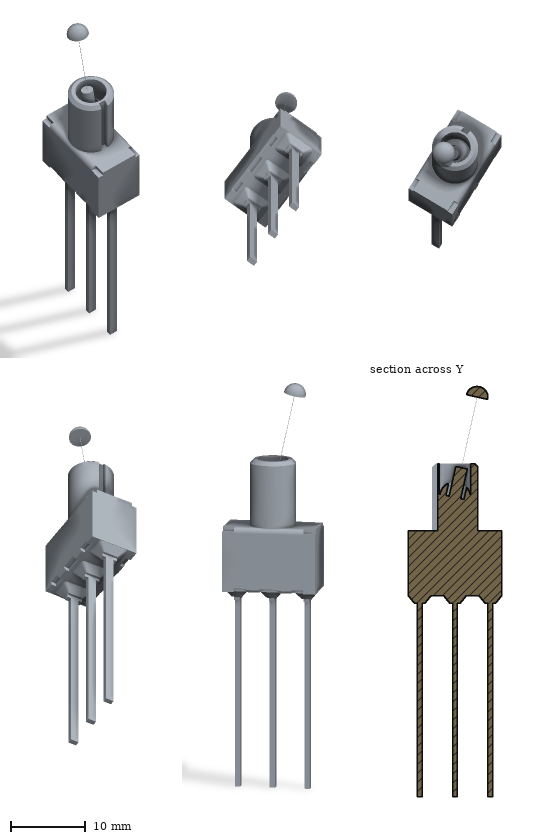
import cadquery as cq
import math


housing_length = 12.7
housing_width = 6.85
housing_height = 8.75
end_length = 1.6
top_edge_radius = 0.7
end_step_height = 0.55
middle_length = housing_length - 2 * end_length

pad_recess_height = 0.5
pad_recess_depth = 0.7
centre_pad_length = 2.55
edge_bevel_height = 0.35
edge_bevel_depth = 0.3
pad_gap = 1.8

bushing_diameter = 6.25
bushing_height = 9.0
bushing_top_chamfer = 0.5
bore_diameter = 4.2
keyway_width = 1.0
keyway_floor = 2.35
bushing_top = housing_height + bushing_height

toggle_tilt = 12.5
ball_depth = 4.5
socket_diameter = 2.4
pin_diameter = 1.65
pin_reach = 4.1
tip_diameter = 3.0
tip_reach = 13.7
stem_diameter = 0.05
ball_height = bushing_top - ball_depth

terminal_pitch = 4.75
terminal_bottom = -27.0
terminal_thickness = 0.7
terminal_width = 1.15
shoulder_bottom = -1.5
foot_height = 1.05
foot_length = 1.4
foot_width = 2.2
foot_corner = 0.15
foot_base_length = 3.1
foot_base_width = 4.35
foot_base_corner = 0.45


def box(length, width, bottom, top, x=0.0, y=0.0):
    """Upright box centred on (x, y) between two heights."""
    return (
        cq.Workplane("XY", origin=(x, y, bottom))
        .rect(length, width)
        .extrude(top - bottom)
    )


def make_housing():
    housing = box(middle_length, housing_width, 0, housing_height)
    housing = housing.edges("|X and >Z").fillet(top_edge_radius)
    for side in (-1, 1):
        end_x = side * (housing_length - end_length) / 2
        upper_width = housing_width - 2 * top_edge_radius
        step = housing_height - end_step_height
        housing = housing.union(box(end_length, housing_width, 0, step, end_x))
        housing = housing.union(box(end_length, upper_width, 0, housing_height, end_x))
    return housing


def make_lower_relief():
    """Recesses in front of the three pads and bevels between them, on both long sides."""
    gap_start = centre_pad_length / 2
    gap_end = gap_start + pad_gap
    side_pad_length = middle_length / 2 - gap_end
    side_pad_x = gap_end + side_pad_length / 2
    recess_y = (housing_width - pad_recess_depth) / 2
    edge_y = housing_width / 2

    bevel_profile = (
        cq.Workplane("YZ", origin=(gap_start, 0, 0))
        .polyline([(edge_y, 0), (edge_y, edge_bevel_height), (edge_y - edge_bevel_depth, 0)])
        .close()
    )
    bevel = bevel_profile.extrude(pad_gap)
    relief = bevel.union(bevel.mirror("YZ"))
    for x, length in (
        (-side_pad_x, side_pad_length),
        (0, centre_pad_length),
        (side_pad_x, side_pad_length),
    ):
        relief = relief.union(box(length, pad_recess_depth, 0, pad_recess_height, x, recess_y))
    return relief.union(relief.mirror("XZ"))


def make_bushing():
    bushing = (
        cq.Workplane("XY", origin=(0, 0, housing_height))
        .circle(bushing_diameter / 2)
        .extrude(bushing_height)
        .faces(">Z")
        .edges()
        .chamfer(bushing_top_chamfer)
    )
    bore = (
        cq.Workplane("XY", origin=(0, 0, ball_height))
        .circle(bore_diameter / 2)
        .extrude(ball_depth)
    )
    keyway_depth = bushing_diameter / 2 - keyway_floor
    keyway_x = keyway_floor + keyway_depth / 2
    keyway = box(keyway_depth, keyway_width, housing_height, bushing_top, keyway_x)
    return bushing.cut(bore).cut(keyway)


def along_toggle(diameter, start, end):
    """Round bar on the toggle axis, measured from the ball centre."""
    tilt = math.radians(toggle_tilt)
    axis = cq.Vector(-math.sin(tilt), 0, math.cos(tilt))
    base = cq.Vector(0, 0, ball_height) + axis * start
    return cq.Workplane(cq.Solid.makeCylinder(diameter / 2, end - start, base, axis))


def make_tip():
    """Half ball whose flat base is square to the toggle axis."""
    return (
        cq.Workplane("XY")
        .sphere(tip_diameter / 2)
        .intersect(box(tip_diameter, tip_diameter, 0, tip_diameter))
        .translate((0, 0, tip_reach))
        .rotate((0, 0, 0), (0, 1, 0), -toggle_tilt)
        .translate((0, 0, ball_height))
    )


def make_terminal():
    """Tapered foot and flat shouldered pin, on the Z axis."""
    base_sketch = (
        cq.Sketch()
        .rect(foot_base_length, foot_base_width)
        .vertices()
        .fillet(foot_base_corner)
    )
    end_sketch = cq.Sketch().rect(foot_length, foot_width).vertices().fillet(foot_corner)
    foot = (
        cq.Workplane("XY")
        .placeSketch(base_sketch, end_sketch.moved(cq.Location(cq.Vector(0, 0, -foot_height))))
        .loft()
    )
    shoulder = box(terminal_thickness, foot_width, shoulder_bottom, -foot_height)
    pin = box(terminal_thickness, terminal_width, terminal_bottom, shoulder_bottom)
    return foot.union(shoulder).union(pin)


body = make_housing().cut(make_lower_relief()).union(make_bushing())

ball = cq.Workplane("XY", origin=(0, 0, ball_height)).sphere(bore_diameter / 2)
body = body.union(ball)
body = body.cut(along_toggle(socket_diameter, 0, pin_reach))
body = body.union(along_toggle(pin_diameter, 0, pin_reach))

body = body.union(along_toggle(stem_diameter, 0, tip_reach + stem_diameter))
body = body.union(make_tip())

terminal = make_terminal()
for position in (-1, 0, 1):
    body = body.union(terminal.translate((position * terminal_pitch, 0, 0)))

result = body